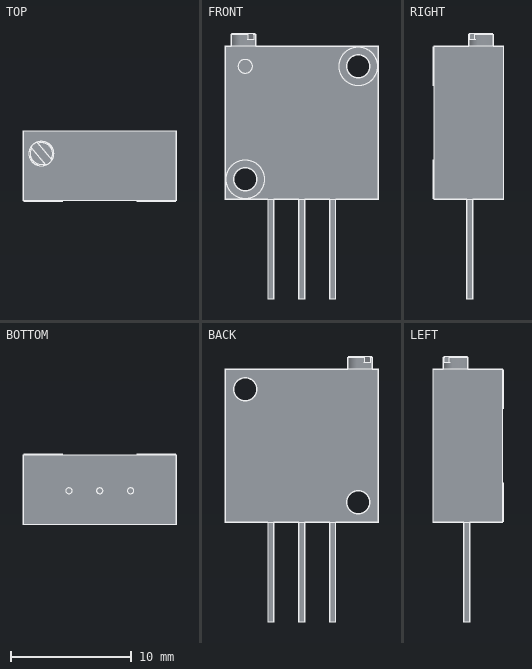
import cadquery as cq

BODY_SIDE = 12.7
BODY_DEPTH = 5.77
HALF_SIDE = BODY_SIDE / 2

CORNER_INSET = 1.67
HOLE_CENTER = HALF_SIDE - CORNER_INSET
HOLE_DIAMETER = 1.9
RING_DIAMETER = 3.2
RING_HEIGHT = 0.075

DOT_DIAMETER = 1.17
DOT_HEIGHT = RING_HEIGHT

SCREW_DIAMETER = 2.05
SCREW_HEIGHT = 1.05
SCREW_CHAMFER = 0.1
SCREW_SIDE_INSET = 1.52
SCREW_BACK_INSET = 1.87
SLOT_WIDTH = 0.65
SLOT_DEPTH = 0.5
SLOT_ANGLE = -50

LEAD_COUNT = 3
LEAD_DIAMETER = 0.5
LEAD_PITCH = 2.55
LEAD_BACK_INSET = 2.8
OVERALL_HEIGHT = 22.02
LEAD_LENGTH = OVERALL_HEIGHT - BODY_SIDE - SCREW_HEIGHT


def front_disc(x, z, diameter, height):
    """Disc standing on the front face, growing towards -Y."""
    return cq.Workplane("XZ").center(x, z).circle(diameter / 2).extrude(height)


def adjustment_screw():
    """Chamfered screw head with a straight driver slot."""
    head = cq.Workplane("XY").circle(SCREW_DIAMETER / 2).extrude(SCREW_HEIGHT)
    head = head.faces(">Z").chamfer(SCREW_CHAMFER)
    slot = (
        cq.Workplane("XY", origin=(0, 0, SCREW_HEIGHT - SLOT_DEPTH))
        .rect(2 * SCREW_DIAMETER, SLOT_WIDTH)
        .extrude(SCREW_HEIGHT)
        .rotate((0, 0, 0), (0, 0, 1), SLOT_ANGLE)
    )
    screw_x = SCREW_SIDE_INSET - HALF_SIDE
    screw_y = BODY_DEPTH - SCREW_BACK_INSET
    return head.cut(slot).translate((screw_x, screw_y, HALF_SIDE))


def leads():
    """Straight leads spaced along X, hanging from the bottom face."""
    return (
        cq.Workplane("XY", origin=(0, BODY_DEPTH - LEAD_BACK_INSET, -HALF_SIDE))
        .rarray(LEAD_PITCH, 0.22, LEAD_COUNT, 1)
        .circle(LEAD_DIAMETER / 2)
        .extrude(-LEAD_LENGTH)
    )


body = cq.Workplane("XY").box(BODY_SIDE, BODY_DEPTH, BODY_SIDE, centered=(True, False, True))
body = body.union(front_disc(-HOLE_CENTER, HOLE_CENTER, DOT_DIAMETER, DOT_HEIGHT))

for side in (1, -1):
    center = side * HOLE_CENTER
    body = body.union(front_disc(center, center, RING_DIAMETER, RING_HEIGHT))
    hole = front_disc(center, center, HOLE_DIAMETER, 2 * BODY_DEPTH).translate((0, BODY_DEPTH, 0))
    body = body.cut(hole)

result = body.union(adjustment_screw()).union(leads())